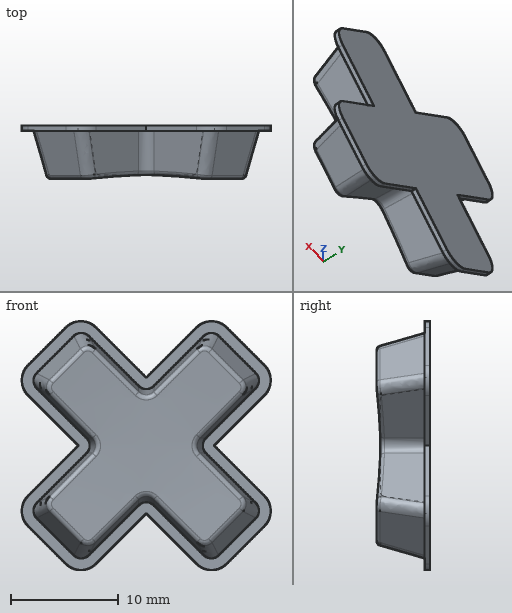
import cadquery as cq
import math

overall_depth = 4.96
flange_thickness = 0.5
flange_size = 23.08
flange_half_width = 4.45
flange_corner_radius = 1.96
flange_half_length = (
    math.sqrt(2) * (flange_size / 2 + flange_corner_radius * (math.sqrt(2) - 1))
    - flange_half_width
)

end_margin = 1.08
side_margin = 1.05
base_half_length = flange_half_length - end_margin
base_half_width = flange_half_width - side_margin
end_taper = 1.4
side_taper = 0.46
outer_corner_radius = 1.0
inner_corner_radius = outer_corner_radius
rim_radius = 0.46

dish_radius = 129.25
dish_depth = 0.42

arm_angles = (45, 135)
trim_allowance = 0.12
selection_clearance = 0.23
body_height = overall_depth - flange_thickness + trim_allowance


def make_flange():
    """Diagonal cross plate with rounded outer corners."""
    flange = cq.Workplane("XZ")
    for angle in arm_angles:
        bar = (
            cq.Workplane("XZ")
            .rect(2 * flange_half_length, 2 * flange_half_width)
            .extrude(flange_thickness)
            .edges("|Y")
            .fillet(flange_corner_radius)
            .rotate((0, 0, 0), (0, 1, 0), angle)
        )
        flange = flange.union(bar)
    return flange


def make_tapered_bar(angle):
    """One bar of the raised cross, narrowing toward the front."""
    return (
        cq.Workplane("XZ", origin=(0, -flange_thickness, 0))
        .rect(2 * base_half_length, 2 * base_half_width)
        .workplane(offset=body_height)
        .rect(2 * (base_half_length - end_taper), 2 * (base_half_width - side_taper))
        .loft(ruled=True)
        .edges("not(#Y)")
        .fillet(outer_corner_radius)
        .rotate((0, 0, 0), (0, 1, 0), angle)
    )


def make_body():
    """Raised cross with rounded inner corners, a dished front and a soft rim."""
    body = make_tapered_bar(arm_angles[0]).union(make_tapered_bar(arm_angles[1]))

    reach = base_half_width * math.sqrt(2) + selection_clearance
    inner_corners = cq.selectors.BoxSelector(
        (-reach, -overall_depth, -reach), (reach, 0, reach)
    )
    body = body.edges(inner_corners).edges("not(#Y)").fillet(inner_corner_radius)

    dish_centre = -overall_depth + dish_depth - dish_radius
    dish = cq.Workplane("XY", origin=(0, dish_centre, 0)).sphere(dish_radius)
    body = body.cut(dish)
    front_face = body.faces(cq.selectors.NearestToPointSelector((0, -overall_depth, 0)))
    return front_face.edges().fillet(rim_radius)


result = make_flange().union(make_body())